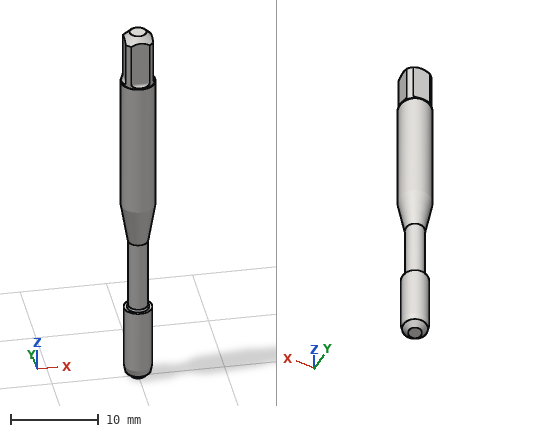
import cadquery as cq

LENGTH = 46.2
TIP_CONE_TOP = 0.7
LEAD_TOP = 1.52
HEAD_TOP = 9.25
TAPER_BOTTOM = 18.3
TAPER_TOP = 23.1
SHANK_TOP = 39.65
RUNOUT_BOTTOM = 39.8

TIP_DIAMETER = 1.55
LEAD_DIAMETER = 2.95
HEAD_DIAMETER = 3.3
NECK_DIAMETER = 2.3
TAPER_END_DIAMETER = 2.4
SHANK_DIAMETER = 4.0
DRIVE_DIAMETER = 3.85
DRIVE_END_DIAMETER = 1.95

NECK_FLARE_HEIGHT = 0.3
NECK_FLARE_WIDTH = 0.15
TAPER_BLEND_HEIGHT = 0.15
DRIVE_FLATS = 3.2
RUNOUT_RADIUS = 0.4
FLAT_CUT_DEPTH = 0.92


def revolve_profile(points):
    """Revolve a closed profile of (radius, height) points about the tool axis."""
    profile = cq.Workplane("XZ").polyline(points).close()
    return profile.revolve(360, (0, 0, 0), (0, 1, 0))


def make_head():
    """Cylindrical working head with a slightly tapered lead and a blunt conical tip."""
    return revolve_profile([
        (0, 0),
        (TIP_DIAMETER / 2, 0),
        (LEAD_DIAMETER / 2, TIP_CONE_TOP),
        (HEAD_DIAMETER / 2, LEAD_TOP),
        (HEAD_DIAMETER / 2, HEAD_TOP),
        (0, HEAD_TOP),
    ])


def make_round_shank():
    """Neck, taper, shank and round drive end before the flats are cut."""
    neck_radius = NECK_DIAMETER / 2
    end_chamfer = (DRIVE_DIAMETER - DRIVE_END_DIAMETER) / 2
    return revolve_profile([
        (0, HEAD_TOP),
        (neck_radius + NECK_FLARE_WIDTH, HEAD_TOP),
        (neck_radius, HEAD_TOP + NECK_FLARE_HEIGHT),
        (neck_radius, TAPER_BOTTOM - TAPER_BLEND_HEIGHT),
        (TAPER_END_DIAMETER / 2, TAPER_BOTTOM),
        (SHANK_DIAMETER / 2, TAPER_TOP),
        (SHANK_DIAMETER / 2, SHANK_TOP),
        (DRIVE_DIAMETER / 2, SHANK_TOP),
        (DRIVE_DIAMETER / 2, LENGTH - end_chamfer),
        (DRIVE_END_DIAMETER / 2, LENGTH),
        (0, LENGTH),
    ])


def make_flat_cutter():
    """Block that cuts the +X drive flat, its inner bottom edge rounded for the runout."""
    block = (
        cq.Workplane("XY")
        .box(FLAT_CUT_DEPTH, SHANK_DIAMETER, LENGTH - RUNOUT_BOTTOM, centered=(False, True, False))
        .translate((DRIVE_FLATS / 2, 0, RUNOUT_BOTTOM))
    )
    return block.faces("<X").edges("<Z").fillet(RUNOUT_RADIUS)


def make_shank():
    """Shank with four drive flats forming a square end with rounded corners."""
    shank = make_round_shank()
    cutter = make_flat_cutter()
    for angle in (0, 90, 180, 270):
        shank = shank.cut(cutter.rotate((0, 0, 0), (0, 0, 1), angle))
    return shank


head = make_head()
shank = make_shank()

result = cq.Compound.makeCompound([head.val(), shank.val()])